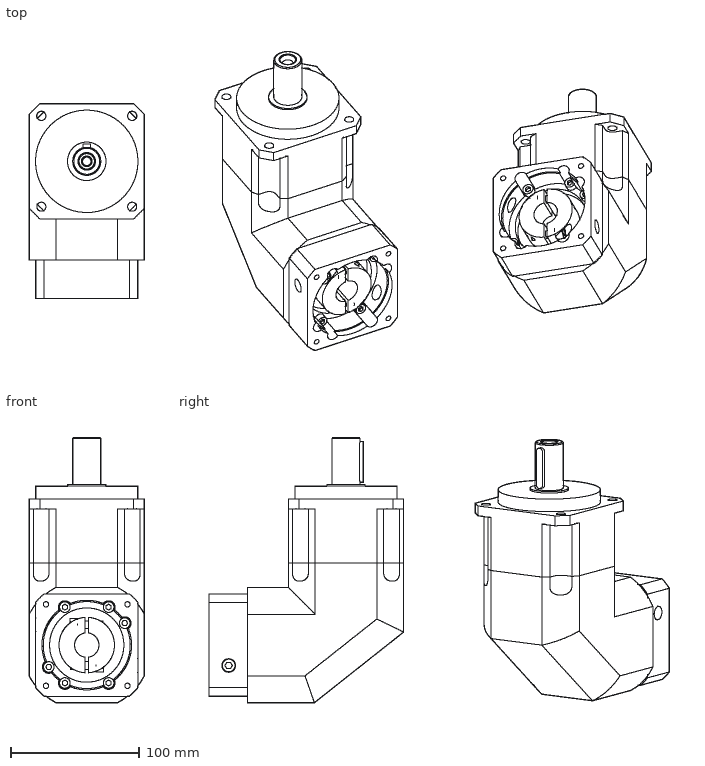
import cadquery as cq
import math


total_height = 207.0
body_width = 90.0
half_body = body_width / 2
body_corner_radius = 102.0 / 2
shaft_tip_z = total_height - half_body
beyond = 2 * total_height

flange_face_z = 114.0
flange_thickness = 7.9
flange_underside_z = flange_face_z - flange_thickness
flange_chamfer = 8.5
flange_hole_spacing = 70.8
flange_hole_diameter = 7.0
joint_z = 64.2
pilot_diameter = 80.0
pilot_height = 10.0
collar_diameter = 30.0
collar_height = 1.2
shaft_diameter = 22.0
shaft_chamfer = 0.8

key_width = 6.0
key_length = 32.0
key_tip_gap = 3.1
key_top_y = 13.5

bevel_radius = 6.8
bevel_depth = 0.5
cone_radius = 6.0
cone_half_angle = 30.0
relief_radius = 4.1
relief_depth = 8.3
drill_radius = 3.3
drill_depth = 24.8
drill_tip_half_angle = 59.0

slot_radius = 6.0
slot_inner = flange_hole_spacing / 2 - slot_radius
slot_bottom_z = 49.9

arm_reach = 77.0
slope_back_z = 10.1
slope_bottom_y = -24.6

hub_diameter = 43.3
hub_length = 20.5
hub_bore_diameter = 19.0
hub_slit_width = 2.5
clamp_screw_y = -91.5
clamp_screw_z = 16.0
clamp_head_diameter = 10.0
clamp_pocket_diameter = 10.5
clamp_seat_x = 7.0
clamp_head_end_x = 13.0
clamp_shank_diameter = 6.0
clamp_shank_end_x = 12.8
clamp_hex_size = 5.0
clamp_hex_depth = 3.0

adapter_width = 80.0
adapter_corner_radius = 104.0 / 2
adapter_length = 30.0
adapter_face_y = -arm_reach - adapter_length
motor_pilot_diameter = 70.0
motor_pilot_depth = 6.0
adapter_bore_diameter = 67.9
adapter_floor_depth = 23.0
adapter_floor_y = adapter_face_y + adapter_floor_depth
adapter_hub_hole_diameter = 58.0
motor_hole_spacing = 63.5
motor_hole_diameter = 4.1
motor_hole_depth = 12.0
access_hole_diameter = 10.5

mount_screw_radius = 34.2
mount_screw_angles = [30, 60, 120, 210, 240, 300]
mount_notch_diameter = 10.0
mount_head_diameter = 8.3
mount_head_height = 5.0
mount_hex_size = 4.0
mount_hex_depth = 2.5


def level_plane(z):
    """Horizontal sketch plane centred on the output axis, facing up."""
    return cq.Workplane("XY", origin=(0, 0, z))


def input_plane(y):
    """Sketch plane across the input axis: local x is X, local y is Z, normal is -Y."""
    return cq.Workplane("XZ", origin=(0, y, 0))


def rounded_square(plane, width, corner_radius, length):
    """Prism of a square whose corners are turned to a circle about its centre."""
    square = plane.rect(width, width).extrude(length)
    disc = plane.circle(corner_radius).extrude(length)
    return square.intersect(disc)


def hex_diameter(across_flats):
    """Circumscribed diameter of a hexagon."""
    return across_flats / math.cos(math.radians(30))


def corner_slots():
    """Ball-ended screw slots running down the corners under the flange."""
    size = body_width
    centre = slot_inner + size / 2
    slot = (
        cq.Workplane("XY", origin=(centre, centre, slot_bottom_z))
        .box(size, size, flange_underside_z - slot_bottom_z, centered=(True, True, False))
        .edges("(<X and <Y) or (<Z and (<X or <Y))")
        .fillet(slot_radius)
    )
    slots = cq.Workplane("XY")
    for quarter in range(4):
        slots = slots.add(slot.rotate((0, 0, 0), (0, 0, 1), 90 * quarter))
    return slots.combine()


def centre_hole():
    """Threaded centre hole in the end of the output shaft."""
    cone_depth = bevel_depth + (cone_radius - relief_radius) / math.tan(math.radians(cone_half_angle))
    tip_depth = drill_depth + drill_radius / math.tan(math.radians(drill_tip_half_angle))
    profile = [
        (0, 0),
        (bevel_radius, 0),
        (cone_radius, -bevel_depth),
        (relief_radius, -cone_depth),
        (relief_radius, -relief_depth),
        (drill_radius, -relief_depth),
        (drill_radius, -drill_depth),
        (0, -tip_depth),
    ]
    hole = cq.Workplane("XZ").polyline(profile).close().revolve(360, (0, 0, 0), (0, 1, 0))
    return hole.translate((0, 0, shaft_tip_z))


def shaft_key():
    """Round-ended key standing in the +Y side of the output shaft."""
    middle_z = shaft_tip_z - key_tip_gap - key_length / 2
    return cq.Workplane("XZ", origin=(0, 0, middle_z)).slot2D(key_length, key_width, 90).extrude(-key_top_y)


def make_gear_head():
    """Gear head with flange, pilot, output shaft and key."""
    barrel = rounded_square(
        level_plane(joint_z), body_width, body_corner_radius, flange_underside_z - joint_z
    )
    flange = (
        level_plane(flange_underside_z)
        .box(body_width, body_width, flange_thickness, centered=(True, True, False))
        .edges("|Z")
        .chamfer(flange_chamfer)
    )
    pilot_face_z = flange_face_z + pilot_height
    pilot = level_plane(flange_face_z).circle(pilot_diameter / 2).extrude(pilot_height)
    collar = level_plane(pilot_face_z).circle(collar_diameter / 2).extrude(collar_height)
    shaft = (
        level_plane(pilot_face_z)
        .circle(shaft_diameter / 2)
        .extrude(shaft_tip_z - pilot_face_z)
        .faces(">Z")
        .chamfer(shaft_chamfer)
    )
    flange_holes = (
        level_plane(flange_underside_z)
        .rect(flange_hole_spacing, flange_hole_spacing, forConstruction=True)
        .vertices()
        .circle(flange_hole_diameter / 2)
        .extrude(flange_thickness)
    )
    barrel = barrel.cut(corner_slots())
    flange = flange.cut(flange_holes)
    shaft = shaft.union(shaft_key()).cut(centre_hole())
    return barrel.union(flange).union(pilot).union(collar).union(shaft)


def slope_envelope():
    """Half space above the sloped underside, with the body's turned corners along its edges."""
    run = half_body - slope_bottom_y
    rise = slope_back_z + half_body
    slope_length = math.hypot(run, rise)
    outward = cq.Vector(0, rise / slope_length, -run / slope_length)
    along = cq.Vector(0, run / slope_length, rise / slope_length)
    start = cq.Vector(0, slope_bottom_y, -half_body) - outward * half_body - along * beyond
    plane = cq.Plane(origin=start, xDir=(1, 0, 0), normal=along)

    flat = math.sqrt(body_corner_radius**2 - half_body**2)
    arc = body_corner_radius / math.sqrt(2)
    return (
        cq.Workplane(plane)
        .moveTo(-half_body, -beyond)
        .lineTo(-half_body, flat)
        .threePointArc((-arc, arc), (-flat, half_body))
        .lineTo(flat, half_body)
        .threePointArc((arc, arc), (half_body, flat))
        .lineTo(half_body, -beyond)
        .close()
        .extrude(2 * beyond)
    )


def elbow_shell():
    """Column and arm mitred at 45 degrees, with the outer corner cut by a slope."""
    column = rounded_square(
        level_plane(-half_body), body_width, body_corner_radius, joint_z + half_body
    )
    arm = rounded_square(input_plane(half_body), body_width, body_corner_radius, arm_reach + half_body)
    above_mitre = (
        cq.Workplane("YZ", origin=(-body_width, 0, 0))
        .polyline([(-beyond, beyond), (beyond, -beyond), (beyond, beyond)])
        .close()
        .extrude(2 * body_width)
    )
    mitred = column.intersect(above_mitre).union(arm.cut(above_mitre))
    return mitred.intersect(slope_envelope())


def clamp_screw_axis(start_x):
    """Sketch plane across the upper clamp screw, facing -X."""
    return cq.Workplane(
        cq.Plane(origin=(-start_x, clamp_screw_y, clamp_screw_z), xDir=(0, 1, 0), normal=(-1, 0, 0))
    )


def half_turn(shape):
    """The same shape turned half a revolution about the input axis."""
    return shape.rotate((0, 0, 0), (0, 1, 0), 180)


def clamping_hub():
    """Slit clamping hub with two opposed clamp screws."""
    plane = input_plane(-arm_reach)
    hub = plane.circle(hub_diameter / 2).circle(hub_bore_diameter / 2).extrude(hub_length)
    hub = hub.cut(plane.rect(hub_slit_width, hub_diameter).extrude(hub_length))

    pocket = clamp_screw_axis(clamp_seat_x).circle(clamp_pocket_diameter / 2).extrude(hub_diameter)
    head = (
        clamp_screw_axis(clamp_seat_x)
        .circle(clamp_head_diameter / 2)
        .extrude(clamp_head_end_x - clamp_seat_x)
        .faces("<X")
        .workplane()
        .polygon(6, hex_diameter(clamp_hex_size))
        .cutBlind(-clamp_hex_depth)
    )
    shank = (
        clamp_screw_axis(-clamp_shank_end_x)
        .circle(clamp_shank_diameter / 2)
        .extrude(clamp_shank_end_x + clamp_seat_x)
    )
    screw = head.union(shank)
    hub = hub.cut(pocket).cut(half_turn(pocket))
    return hub.union(screw).union(half_turn(screw))


def make_elbow():
    """Elbow housing carrying the clamping hub on its arm face."""
    return elbow_shell().cut(corner_slots()).union(clamping_hub())


def motor_holes():
    """Blind drilled holes at the four corners of the motor face."""
    radius = motor_hole_diameter / 2
    tip_depth = motor_hole_depth + radius / math.tan(math.radians(drill_tip_half_angle))
    profile = [(0, 0), (radius, 0), (radius, motor_hole_depth), (0, tip_depth)]
    hole = cq.Workplane("XY").polyline(profile).close().revolve(360, (0, 0, 0), (0, 1, 0))
    corners = (
        input_plane(adapter_face_y)
        .rect(motor_hole_spacing, motor_hole_spacing, forConstruction=True)
        .vertices()
        .vals()
    )
    holes = cq.Workplane("XY")
    for corner in corners:
        holes = holes.add(hole.translate(corner.toTuple()))
    return holes.combine()


def mount_screw_place():
    """Sketch plane on the adapter floor, centred on the mounting pitch circle along +X."""
    return input_plane(adapter_floor_y).center(mount_screw_radius, 0)


def mount_screw_head():
    """Socket head standing on the adapter floor, two hexagon corners lying along its tangent."""
    return (
        mount_screw_place()
        .circle(mount_head_diameter / 2)
        .extrude(mount_head_height)
        .faces("<Y")
        .workplane()
        .transformed(rotate=(0, 0, 90))
        .polygon(6, hex_diameter(mount_hex_size))
        .cutBlind(-mount_hex_depth)
    )


def make_adapter():
    """Motor adapter with stepped bore, mounting screws and clamp access holes."""
    adapter = rounded_square(input_plane(-arm_reach), adapter_width, adapter_corner_radius, adapter_length)

    bore = input_plane(adapter_floor_y).circle(adapter_bore_diameter / 2).extrude(adapter_floor_depth)
    pilot_floor_y = adapter_face_y + motor_pilot_depth
    motor_pilot = input_plane(pilot_floor_y).circle(motor_pilot_diameter / 2).extrude(motor_pilot_depth)
    hub_hole = input_plane(-arm_reach).circle(adapter_hub_hole_diameter / 2).extrude(adapter_length)
    adapter = adapter.cut(bore).cut(motor_pilot).cut(hub_hole)

    access_hole = clamp_screw_axis(0).circle(access_hole_diameter / 2).extrude(adapter_width)
    adapter = adapter.cut(access_hole).cut(half_turn(access_hole))

    adapter = adapter.cut(motor_holes())

    notch = mount_screw_place().circle(mount_notch_diameter / 2).extrude(adapter_floor_depth)
    screw = mount_screw_head()
    for angle in mount_screw_angles:
        adapter = adapter.cut(notch.rotate((0, 0, 0), (0, -1, 0), angle))
        adapter = adapter.union(screw.rotate((0, 0, 0), (0, -1, 0), angle))
    return adapter


gear_head = make_gear_head()
elbow = make_elbow()
adapter = make_adapter()

result = cq.Compound.makeCompound([gear_head.val(), elbow.val(), adapter.val()])